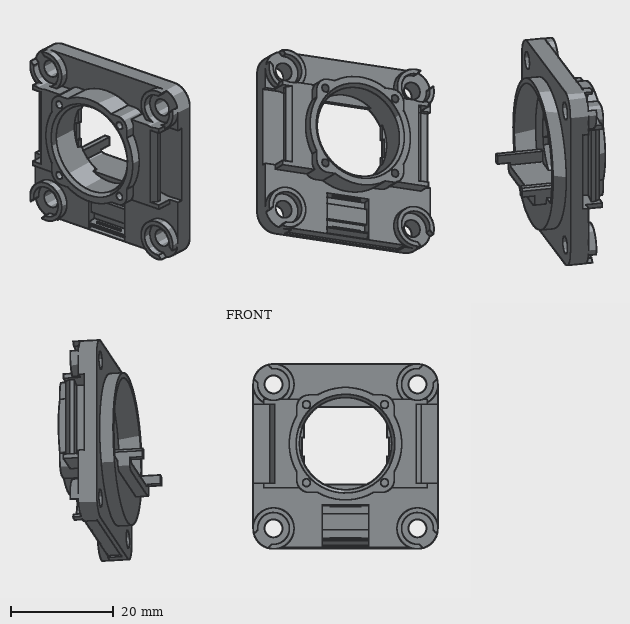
import cadquery as cq
import math

PLATE_SIZE = 36
PLATE_BACK = 3.67
CORNER_RADIUS = 4.0
SCREW_OFFSET = PLATE_SIZE / 2 - CORNER_RADIUS
BOTTOM_REBATE_HEIGHT = 0.35
BOTTOM_REBATE_DEPTH = 2.75
DISC_RADIUS = 14.85
DISC_BACK = 6.3

BOSS_HEIGHT = 1.6
COUNTERBORE_RADIUS = 3.1
SCREW_HOLE_RADIUS = 1.73
CORNER_GAP_WIDTH = 3.9

LENS_Z = 2.5
RING_HEIGHT = 5.3
RING_RADIUS = 10.95
LOBE_HOLE_OFFSET = 7.6
LOBE_HOLE_RADIUS = 0.75
LOBE_HALF_WIDTH = 9.45
LOBE_RADIUS = 2.35
BORE_RADIUS = 8.95
BORE_FLOOR = 1.0
MOUTH_RADIUS = 9.6
MOUTH_DEPTH = 0.8

WINDOW_TOP = 9.58
WINDOW_BOTTOM = -5.45
WINDOW_HALF_WIDTH = 8.03
NOTCH_TOP = 3.67
WEB_BACK = 2.0
CAVITY_RADIUS = 13.85

BRACKET_HALF_WIDTH = 9.9
PRONG_THICKNESS = 1.48
PRONG_INNER = BRACKET_HALF_WIDTH - PRONG_THICKNESS
PRONG_TOP = -3.02
PRONG_BOTTOM = -4.8
PRONG_BACK = 11.15
PRONG_BEVEL_WIDTH = 0.3
PRONG_BEVEL_HEIGHT = 0.55
RAIL_BOTTOM = -7.15
RAIL_BACK = 8.65
BRACKET_OUTER_RADIUS = 1.45
RAIL_FLARE_WIDTH = 1.15
RAIL_FLARE_HEIGHT = 0.2

BLOCK_HALF_WIDTH = 15.9
BLOCK_HEIGHT = 3.3
BLOCK_HALF_HEIGHT = 8.6
BLOCK_TOP = LENS_Z + BLOCK_HALF_HEIGHT
BLOCK_BOTTOM = LENS_Z - BLOCK_HALF_HEIGHT
RECESS_HALF_HEIGHT = 7.7
RECESS_TOP = LENS_Z + RECESS_HALF_HEIGHT
RECESS_BOTTOM = LENS_Z - RECESS_HALF_HEIGHT
RECESS_FLOOR_OUTER = 1.2
RECESS_FLOOR_INNER = 0.9
BAR_OUTER = 14.72
BAR_INNER = 13.8
BAR_BEVEL_HEIGHT = 1.05
BAR_UNDERSIDE = -1.45
POCKET_DEPTH = 2.52
POCKET_TAPER = 0.45

SLOT_HALF_WIDTH = 4.55
SLOT_TOP = -9.35
SLOT_BOTTOM = -16.2
SLOT_DEPTH = 1.75
SLOT_TAPER = 0.3
RIDGE_TOP = -11.2
RIDGE_BOTTOM = -14.3
RIDGE_FRONT = 0.85
RIB_HALF_WIDTH = 3.0
RIB_FRONT = 0.65
RIB_THICKNESS = 0.2
RIB_HEIGHT = 0.4
GROOVE_TOP = -16.4
GROOVE_APEX = -17.28
GROOVE_BOTTOM = -17.55
GROOVE_DEPTH = 0.8


def span_box(x0, x1, y0, y1, z0, z1):
    """Box given by its limits along each axis."""
    return cq.Workplane("XY").box(x1 - x0, y1 - y0, z1 - z0, centered=False).translate((x0, y0, z0))


def front_plane(y):
    """Sketch plane at depth y: local x is X, local y is Z, extrusion runs toward +Y when negative."""
    return cq.Workplane("XZ", origin=(0, y, 0))


def cylinder(x, z, radius, y0, y1):
    """Cylinder along Y between two depths."""
    return front_plane(y0).center(x, z).circle(radius).extrude(y0 - y1)


def prism_along_x(points, half_width):
    """Prism centred on X = 0 from an outline of (y, z) points."""
    return cq.Workplane("YZ").polyline(points).close().extrude(half_width, both=True)


def both_sides(shape):
    """A shape together with its mirror image across X = 0."""
    return shape.union(shape.mirror("YZ"))


def screw_positions():
    return [(sx * SCREW_OFFSET, sz * SCREW_OFFSET) for sx in (-1, 1) for sz in (-1, 1)]


def base_plate():
    """Rounded plate whose front layer is cleared away except for four round corner bosses."""
    half = PLATE_SIZE / 2
    plate = span_box(-half, half, -BOSS_HEIGHT, PLATE_BACK, -half, half)
    plate = plate.edges("|Y").fillet(CORNER_RADIUS)
    clearance = span_box(-half, half, -BOSS_HEIGHT, 0, -half, half)
    for x, z in screw_positions():
        clearance = clearance.cut(cylinder(x, z, CORNER_RADIUS, -BOSS_HEIGHT, 0))
    return plate.cut(clearance)


def bottom_rebate():
    """Shallow step along the bottom edge, ending where its top meets the round corner bosses."""
    bottom = -PLATE_SIZE / 2
    top = bottom + BOTTOM_REBATE_HEIGHT
    half_width = SCREW_OFFSET - math.sqrt(CORNER_RADIUS**2 - (SCREW_OFFSET + top) ** 2)
    return span_box(-half_width, half_width, 0, BOTTOM_REBATE_DEPTH, bottom, top)


def rear_disc():
    return cylinder(0, 0, DISC_RADIUS, PLATE_BACK, DISC_BACK)


def screw_cut(x, z):
    """Through hole, counterbore and the diagonal gap toward the plate corner."""
    hole = cylinder(x, z, SCREW_HOLE_RADIUS, 0, PLATE_BACK)
    counterbore = cylinder(x, z, COUNTERBORE_RADIUS, -BLOCK_HEIGHT, 0)
    gap = span_box(0, 2 * CORNER_RADIUS, -BOSS_HEIGHT, 0, -CORNER_GAP_WIDTH / 2, CORNER_GAP_WIDTH / 2)
    angle = math.degrees(math.atan2(z, x))
    gap = gap.rotate((0, 0, 0), (0, 1, 0), -angle).translate((x, 0, z))
    return hole.union(counterbore).union(gap)


def lens_ring():
    side = 2 * LOBE_HALF_WIDTH
    lobes = front_plane(-RING_HEIGHT).center(0, LENS_Z).rect(side, side).extrude(-RING_HEIGHT)
    lobes = lobes.edges("|Y").fillet(LOBE_RADIUS)
    return cylinder(0, LENS_Z, RING_RADIUS, -RING_HEIGHT, 0).union(lobes)


def lens_bore():
    """Bore with a conical mouth."""
    bore = cylinder(0, LENS_Z, BORE_RADIUS, -RING_HEIGHT, BORE_FLOOR)
    mouth = (
        front_plane(-RING_HEIGHT).center(0, LENS_Z).circle(MOUTH_RADIUS)
        .workplane(offset=-MOUTH_DEPTH).circle(BORE_RADIUS).loft()
    )
    return bore.union(mouth)


def lobe_holes():
    return (
        front_plane(-RING_HEIGHT).center(0, LENS_Z)
        .rect(2 * LOBE_HOLE_OFFSET, 2 * LOBE_HOLE_OFFSET, forConstruction=True).vertices()
        .circle(LOBE_HOLE_RADIUS).extrude(-RING_HEIGHT)
    )


def rear_cavity():
    """Stepped window through the web, kept within the bore outline, and the round cavity behind it."""
    window = span_box(
        -WINDOW_HALF_WIDTH, WINDOW_HALF_WIDTH, BORE_FLOOR, WEB_BACK, WINDOW_BOTTOM, WINDOW_TOP
    )
    notch = span_box(-PRONG_INNER, PRONG_INNER, BORE_FLOOR, WEB_BACK, 0, NOTCH_TOP)
    above_rail = span_box(-DISC_RADIUS, DISC_RADIUS, WEB_BACK, DISC_BACK, WINDOW_BOTTOM, DISC_RADIUS)
    cavity = cylinder(0, 0, CAVITY_RADIUS, WEB_BACK, DISC_BACK).intersect(above_rail)
    opening = window.union(notch).intersect(cylinder(0, LENS_Z, BORE_RADIUS, BORE_FLOOR, WEB_BACK))
    return opening.union(cavity)


def rear_bracket():
    """U-shaped bracket whose two prongs reach further back than its rail."""
    outer = span_box(
        -BRACKET_HALF_WIDTH, BRACKET_HALF_WIDTH, WEB_BACK, PRONG_BACK, RAIL_BOTTOM, PRONG_TOP
    )
    outer = outer.edges("|Y and <Z").fillet(BRACKET_OUTER_RADIUS)
    flare_top = WINDOW_BOTTOM + RAIL_FLARE_HEIGHT
    flat_half_width = PRONG_INNER - RAIL_FLARE_WIDTH
    inner = (
        front_plane(WEB_BACK)
        .moveTo(0, WINDOW_BOTTOM)
        .lineTo(flat_half_width, WINDOW_BOTTOM)
        .tangentArcPoint((PRONG_INNER, flare_top), relative=False)
        .lineTo(PRONG_INNER, PRONG_TOP)
        .lineTo(0, PRONG_TOP)
        .close().extrude(WEB_BACK - PRONG_BACK)
    )
    inner = both_sides(inner)
    behind_rail = span_box(
        -BRACKET_HALF_WIDTH, BRACKET_HALF_WIDTH, RAIL_BACK, PRONG_BACK, RAIL_BOTTOM, PRONG_BOTTOM
    )
    bevel = (
        front_plane(WEB_BACK)
        .moveTo(BRACKET_HALF_WIDTH, PRONG_TOP)
        .lineTo(BRACKET_HALF_WIDTH - PRONG_BEVEL_WIDTH, PRONG_TOP)
        .lineTo(BRACKET_HALF_WIDTH, PRONG_TOP - PRONG_BEVEL_HEIGHT)
        .close().extrude(WEB_BACK - PRONG_BACK)
    )
    return outer.cut(inner).cut(behind_rail).cut(both_sides(bevel))


def side_blocks():
    return span_box(-BLOCK_HALF_WIDTH, BLOCK_HALF_WIDTH, -BLOCK_HEIGHT, 0, BLOCK_BOTTOM, BLOCK_TOP)


def clip_recesses():
    """Recess in each side with a sloping floor, and a tapered pocket undercutting its bevelled bar."""
    side = PLATE_SIZE / 2
    recess = (
        cq.Workplane("XY", origin=(0, 0, RECESS_BOTTOM))
        .moveTo(side, -BLOCK_HEIGHT)
        .lineTo(BAR_INNER, -BLOCK_HEIGHT)
        .lineTo(BAR_OUTER, -BLOCK_HEIGHT + BAR_BEVEL_HEIGHT)
        .lineTo(BAR_OUTER, BAR_UNDERSIDE)
        .lineTo(side, BAR_UNDERSIDE)
        .close().extrude(2 * RECESS_HALF_HEIGHT)
    )
    pocket_wall = BAR_OUTER - POCKET_DEPTH
    pocket = (
        cq.Workplane("XY", origin=(0, 0, RECESS_BOTTOM))
        .moveTo(side, BAR_UNDERSIDE)
        .lineTo(pocket_wall, BAR_UNDERSIDE)
        .lineTo(pocket_wall, RECESS_FLOOR_INNER)
        .lineTo(side, RECESS_FLOOR_OUTER)
        .close().extrude(2 * RECESS_HALF_HEIGHT)
    )
    taper = (
        front_plane(BAR_UNDERSIDE)
        .moveTo(side, RECESS_BOTTOM)
        .lineTo(BAR_OUTER, RECESS_BOTTOM)
        .lineTo(pocket_wall, RECESS_BOTTOM + POCKET_TAPER)
        .lineTo(pocket_wall, RECESS_TOP - POCKET_TAPER)
        .lineTo(BAR_OUTER, RECESS_TOP)
        .lineTo(side, RECESS_TOP)
        .close().extrude(BAR_UNDERSIDE - RECESS_FLOOR_OUTER)
    )
    return both_sides(recess.union(pocket.intersect(taper)))


def cable_slot():
    """Slot with tapered ends, a raised middle ridge and a low rib on each end wall."""
    slot = prism_along_x(
        [
            (0, SLOT_TOP),
            (SLOT_DEPTH, SLOT_TOP - SLOT_TAPER),
            (SLOT_DEPTH, RIDGE_TOP),
            (RIDGE_FRONT, RIDGE_TOP),
            (RIDGE_FRONT, RIDGE_BOTTOM),
            (SLOT_DEPTH, RIDGE_BOTTOM),
            (SLOT_DEPTH, SLOT_BOTTOM + SLOT_TAPER),
            (0, SLOT_BOTTOM),
        ],
        SLOT_HALF_WIDTH,
    )
    rib_back = RIB_FRONT + RIB_THICKNESS
    for low, high in ((SLOT_TOP - RIB_HEIGHT, SLOT_TOP), (SLOT_BOTTOM, SLOT_BOTTOM + RIB_HEIGHT)):
        slot = slot.cut(span_box(-RIB_HALF_WIDTH, RIB_HALF_WIDTH, RIB_FRONT, rib_back, low, high))
    return slot


def latch_groove():
    """V-shaped groove between the slot and the bottom edge of the plate."""
    return prism_along_x([(0, GROOVE_TOP), (GROOVE_DEPTH, GROOVE_APEX), (0, GROOVE_BOTTOM)], SLOT_HALF_WIDTH)


result = base_plate()
for added in (side_blocks(), rear_disc(), lens_ring()):
    result = result.union(added, clean=False)
lens_opening = lens_bore().union(rear_cavity())
for removed in (bottom_rebate(), clip_recesses(), lens_opening, lobe_holes()):
    result = result.cut(removed, clean=False)
for screw_x, screw_z in screw_positions():
    result = result.cut(screw_cut(screw_x, screw_z), clean=False)
result = result.union(rear_bracket(), clean=False)
for removed in (cable_slot(), latch_groove()):
    result = result.cut(removed, clean=False)